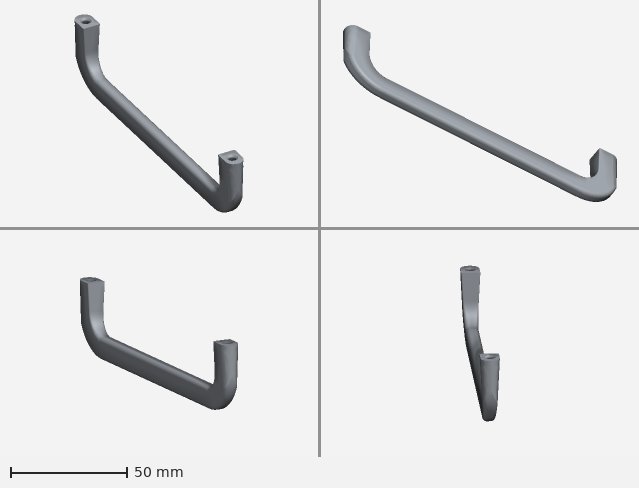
import cadquery as cq
import math


HEIGHT = 32.0
LENGTH = 138.84
FOOT_WIDTH = 8.31
FOOT_DEPTH = 10.7
BAR_HEIGHT = 10.0
SIDE_DRAFT = 3.0
TURN_ANGLE = -30.98

OUTER_BEND_RADIUS = 18.7
INNER_BEND_RADIUS = 9.2

OUTER_EDGE_RADIUS = 1.65
BAR_EDGE_RADIUS = 1.9
FOOT_EDGE_RADIUS = 0.5

END_FLAT_WIDTH = 0.4

HOLE_SPACING = 128.0
HOLE_DIAMETER = 3.3
HOLE_DEPTH = 10.0
COUNTERSINK_DIAMETER = 5.0
COUNTERSINK_ANGLE = 90.0
DRILL_POINT_ANGLE = 118.0

BASE_WIDTH = FOOT_WIDTH - 2 * HEIGHT * math.tan(math.radians(SIDE_DRAFT))
INNER_LENGTH = LENGTH - 2 * FOOT_DEPTH
TOLERANCE = 0.01


def u_profile():
    """Solid U with plain vertical sides and rounded bends."""
    outer = (
        cq.Workplane("XY")
        .box(LENGTH, FOOT_WIDTH, HEIGHT, centered=(True, True, False))
        .edges("|Y and <Z")
        .fillet(OUTER_BEND_RADIUS)
    )
    opening = (
        cq.Workplane("XY")
        .workplane(offset=BAR_HEIGHT)
        .box(INNER_LENGTH, FOOT_WIDTH, HEIGHT, centered=(True, True, False))
        .edges("|Y and <Z")
        .fillet(INNER_BEND_RADIUS)
    )
    return outer.cut(opening)


def drafted_block():
    """Block around the whole handle whose long sides carry the draft."""
    return (
        cq.Workplane("YZ", origin=(-LENGTH / 2, 0, 0))
        .moveTo(-BASE_WIDTH / 2, 0)
        .lineTo(BASE_WIDTH / 2, 0)
        .lineTo(FOOT_WIDTH / 2, HEIGHT)
        .lineTo(-FOOT_WIDTH / 2, HEIGHT)
        .close()
        .extrude(LENGTH)
    )


def rounded_plan(width):
    """Plan outline of the handle at a given width, with rounded corners."""
    corner_radius = (width - END_FLAT_WIDTH) / 2
    return cq.Sketch().rect(LENGTH, width).vertices().fillet(corner_radius)


def rounded_block():
    """The drafted block with rounded ends."""
    return (
        cq.Workplane("XY")
        .placeSketch(
            rounded_plan(BASE_WIDTH),
            rounded_plan(FOOT_WIDTH).moved(cq.Location(cq.Vector(0, 0, HEIGHT))),
        )
        .loft(ruled=True)
    )


def round_outer_edges(body):
    """Round both long edges of the bar underside and outer bends."""
    edges = body.faces("<Z").edges("|X")
    return edges.fillet(OUTER_EDGE_RADIUS)


def inner_edge_radius(edge, position):
    """Radius of the inner edge rounding at one end of an edge."""
    on_bar = edge.positionAt(position).z < BAR_HEIGHT + TOLERANCE
    return BAR_EDGE_RADIUS if on_bar else FOOT_EDGE_RADIUS


def round_inner_edges(body):
    """Round the inner edges, easing from the bar radius to the foot radius."""
    solid = body.val()
    bar_top = cq.selectors.NearestToPointSelector((0, 0, BAR_HEIGHT))
    fillet = cq.occ_impl.shapes.BRepFilletAPI_MakeFillet(solid.wrapped)
    for bar_edge in body.faces(bar_top).edges("|X").vals():
        fillet.Add(bar_edge.wrapped)
    for chain in range(1, fillet.NbContours() + 1):
        for place in range(1, fillet.NbEdges(chain) + 1):
            edge = cq.Edge(fillet.Edge(chain, place))
            start_radius = inner_edge_radius(edge, 0)
            end_radius = inner_edge_radius(edge, 1)
            fillet.SetRadius(start_radius, end_radius, chain, place)
    return cq.Workplane(cq.Shape.cast(fillet.Shape()))


def hole_cutter():
    """Countersunk blind hole with a conical drill point, its mouth at the origin."""
    radius = HOLE_DIAMETER / 2
    mouth_radius = COUNTERSINK_DIAMETER / 2
    mouth_depth = (mouth_radius - radius) / math.tan(math.radians(COUNTERSINK_ANGLE / 2))
    point_depth = radius / math.tan(math.radians(DRILL_POINT_ANGLE / 2))
    return (
        cq.Workplane("XZ")
        .lineTo(mouth_radius, 0)
        .lineTo(radius, -mouth_depth)
        .lineTo(radius, -HOLE_DEPTH)
        .lineTo(0, -HOLE_DEPTH - point_depth)
        .close()
        .revolve(360, (0, 0, 0), (0, 1, 0))
    )


def drill_holes(body):
    """Cut the mounting hole into each foot."""
    for side in (-1, 1):
        body = body.cut(hole_cutter().translate((side * HOLE_SPACING / 2, 0, HEIGHT)))
    return body


handle = u_profile().intersect(drafted_block())
handle = round_outer_edges(handle)
handle = round_inner_edges(handle)
handle = handle.intersect(rounded_block())
handle = drill_holes(handle)
result = handle.rotate((0, 0, 0), (0, 0, 1), TURN_ANGLE)